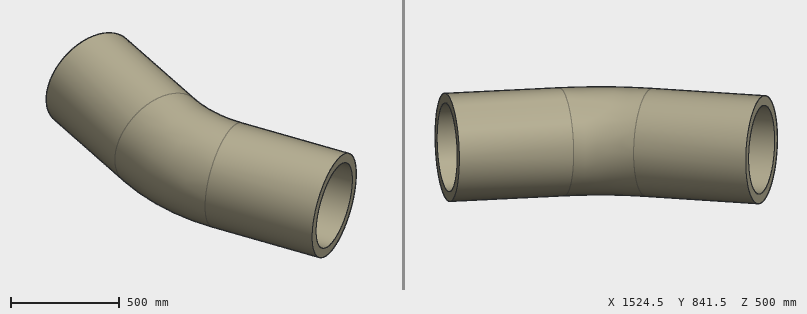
import cadquery as cq
import math

outer_diameter = 500.0
inner_diameter = 409.2
bend_angle = 30.0
tangent_length = 750.0
leg_length = 540.0

bend_radius = (tangent_length - leg_length) / math.tan(math.radians(bend_angle / 2))


def axis_path():
    """Pipe axis in the XY plane: straight inlet, arc turning toward +Y, straight outlet."""

    def bend_point(angle):
        turn = math.radians(angle)
        return (
            leg_length + bend_radius * math.sin(turn),
            bend_radius * (1 - math.cos(turn)),
        )

    bend_end = bend_point(bend_angle)
    outlet_direction = math.radians(bend_angle)
    outlet_end = (
        bend_end[0] + leg_length * math.cos(outlet_direction),
        bend_end[1] + leg_length * math.sin(outlet_direction),
    )
    return (
        cq.Workplane("XY")
        .lineTo(leg_length, 0)
        .threePointArc(bend_point(bend_angle / 2), bend_end)
        .lineTo(*outlet_end)
    )


def rod(diameter):
    """Solid round bar following the pipe axis."""
    return cq.Workplane("YZ").circle(diameter / 2).sweep(axis_path())


result = rod(outer_diameter).cut(rod(inner_diameter))